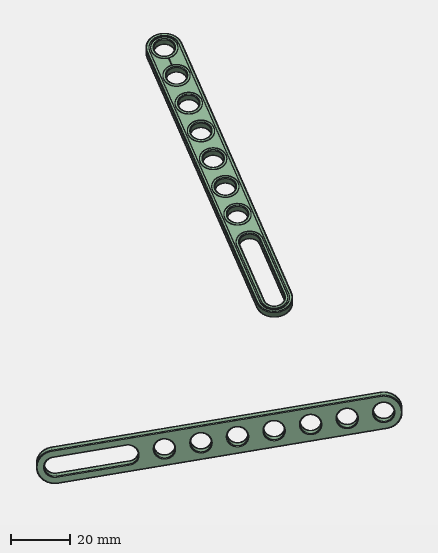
import cadquery as cq

pitch = 12.5
length = 10 * pitch
width = pitch
thickness = pitch / 4
hole_count = 7
hole_diameter = 7.0
collar_diameter = 9.2
rim_width = 1.1
recess_depth = 0.2
edge_chamfer = 0.3
groove_width = 0.2
groove_depth = 0.2

first_hole_x = -length / 2 + pitch / 2
hole_centres = [(first_hole_x + i * pitch, 0) for i in range(hole_count)]
slot_spacing = 2 * pitch
slot_centre_x = length / 2 - pitch / 2 - slot_spacing / 2
floor_z = thickness - recess_depth
flare_angle = 45


def bar_blank():
    """Round-ended bar with its outer top and bottom edges chamfered."""
    blank = cq.Workplane("XY").slot2D(length, width).extrude(thickness)
    return blank.faces("<Z or >Z").edges().chamfer(edge_chamfer)


def opening_columns(diameter, bottom_z, height, taper=0):
    """Columns at the round holes and the long slot; a positive taper narrows them upwards."""
    plane = cq.Workplane("XY").workplane(offset=bottom_z)
    rounds = plane.pushPoints(hole_centres).circle(diameter / 2).extrude(height, taper=taper)
    slot_outline = plane.center(slot_centre_x, 0).slot2D(slot_spacing + diameter, diameter)
    return rounds.union(slot_outline.extrude(height, taper=taper))


def top_recess():
    """Shallow pocket inside the rim that leaves a collar round every opening."""
    plane = cq.Workplane("XY").workplane(offset=floor_z)
    pocket = plane.slot2D(length - 2 * rim_width, width - 2 * rim_width).extrude(recess_depth)
    return pocket.cut(opening_columns(collar_diameter, floor_z, recess_depth))


def floor_groove():
    """Fine groove in the recess floor, joining the collars of the first two holes."""
    plane = cq.Workplane("XY").workplane(offset=floor_z - groove_depth)
    groove_length = pitch - collar_diameter
    return plane.center(first_hole_x + pitch / 2, 0).rect(groove_length, groove_width).extrude(groove_depth)


def chamfered_openings():
    """Cutter for the holes and the slot, flared at the top and bottom faces."""
    mouth_diameter = hole_diameter + 2 * edge_chamfer
    bore = opening_columns(hole_diameter, 0, thickness)
    bottom_flare = opening_columns(mouth_diameter, 0, edge_chamfer, flare_angle)
    top_flare = opening_columns(hole_diameter, thickness - edge_chamfer, edge_chamfer, -flare_angle)
    return bore.union(bottom_flare).union(top_flare)


result = bar_blank().cut(top_recess()).cut(floor_groove()).cut(chamfered_openings())